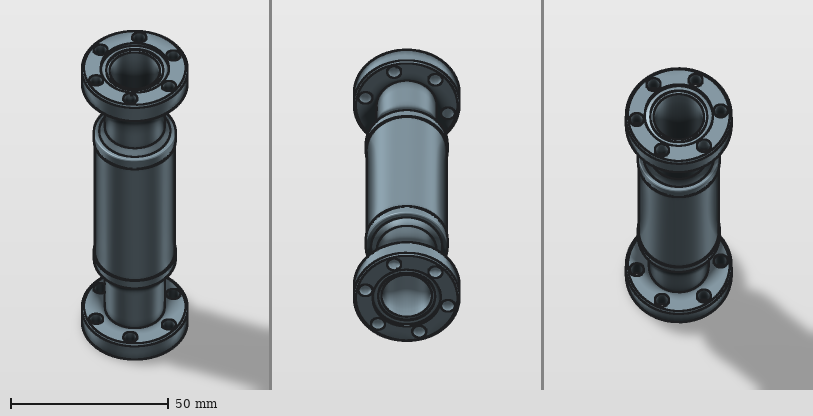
import cadquery as cq
import math

total_length = 118.0
bore_radius = 8.0
neck_radius = 9.5
body_radius = 12.7

flange_radius = 16.9
flange_thickness = 7.5
flange_chamfer = 0.7

bolt_count = 6
bolt_circle_radius = 13.5
bolt_hole_diameter = 4.5
first_bolt_angle = 90.0

recess_radius = 10.9
recess_depth = 1.3
knife_radius = 9.1
knife_depth = 0.8
seat_depth = 1.3

collar_radius = 13.1
collar_rounding = 0.7
collar_start = 29.3
collar_end = 33.1

shoulder_start = 27.1
shoulder_radius = 11.3

half_length = total_length / 2


def at(radius, depth):
    """Profile point at a radius and a depth below the upper flange face."""
    return radius, half_length - depth


def revolve_about_z(profile):
    """Revolve a closed XZ profile about the tube axis."""
    return profile.revolve(360, (0, 0, 0), (0, 1, 0))


def make_upper_end():
    """Solid flange, neck, shoulder and collar of the upper end."""
    corner_inset = collar_rounding * (1 - math.sqrt(0.5))
    profile = (
        cq.Workplane("XZ")
        .moveTo(*at(0, 0))
        .lineTo(*at(flange_radius - flange_chamfer, 0))
        .lineTo(*at(flange_radius, flange_chamfer))
        .lineTo(*at(flange_radius, flange_thickness - flange_chamfer))
        .lineTo(*at(flange_radius - flange_chamfer, flange_thickness))
        .lineTo(*at(neck_radius, flange_thickness))
        .lineTo(*at(neck_radius, shoulder_start))
        .lineTo(*at(shoulder_radius, collar_start))
        .lineTo(*at(collar_radius - collar_rounding, collar_start))
        .threePointArc(
            at(collar_radius - corner_inset, collar_start + corner_inset),
            at(collar_radius, collar_start + collar_rounding),
        )
        .lineTo(*at(collar_radius, collar_end))
        .lineTo(*at(0, collar_end))
        .close()
    )
    return revolve_about_z(profile)


def make_sealing_recess():
    """Cutter for the knife-edge recess in the upper flange face."""
    profile = (
        cq.Workplane("XZ")
        .moveTo(*at(0, 0))
        .lineTo(*at(recess_radius, 0))
        .lineTo(*at(recess_radius, recess_depth))
        .lineTo(*at(knife_radius, knife_depth))
        .lineTo(*at(knife_radius, seat_depth))
        .lineTo(*at(0, seat_depth))
        .close()
    )
    return revolve_about_z(profile)


def make_bolt_holes():
    """Cutters for the ring of bolt holes through the upper flange."""
    return (
        cq.Workplane("XY")
        .workplane(offset=half_length - flange_thickness)
        .polarArray(bolt_circle_radius, first_bolt_angle, 360, bolt_count)
        .circle(bolt_hole_diameter / 2)
        .extrude(flange_thickness)
    )


body_length = total_length - 2 * collar_end
body = cq.Workplane("XY").circle(body_radius).extrude(body_length / 2, both=True)
bore = cq.Workplane("XY").circle(bore_radius).extrude(half_length, both=True)

upper_end = make_upper_end().cut(make_sealing_recess()).cut(make_bolt_holes())
lower_end = upper_end.mirror("XY")

result = body.union(upper_end).union(lower_end).cut(bore)